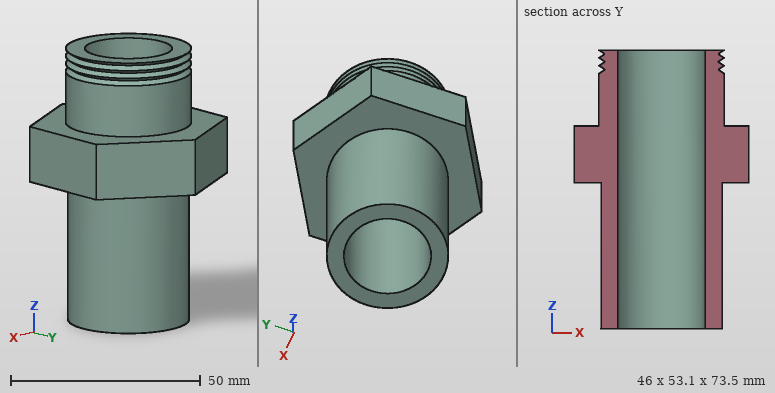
import cadquery as cq
import math

total_length = 73.5
collar_length = 20.0
hex_height = 15.0
hex_top = total_length - collar_length
hex_bottom = hex_top - hex_height

hex_across_flats = 46.0
hex_across_corners = hex_across_flats / math.cos(math.pi / 6)
collar_radius = 33.15 / 2
pipe_radius = 32.05 / 2
bore_radius = 23.0 / 2

groove_count = 3
groove_pitch = 2.05
groove_depth = 1.55


def make_pipe():
    """Plain cylindrical tail below the hexagon."""
    return cq.Workplane("XY").circle(pipe_radius).extrude(hex_bottom)


def make_hexagon():
    """Wrench hexagon with its corners on the Y axis."""
    return (
        cq.Workplane("XY", origin=(0, 0, hex_bottom))
        .transformed(rotate=(0, 0, 90))
        .polygon(6, hex_across_corners)
        .extrude(hex_height)
    )


def make_collar():
    """Collar revolved from a half profile, with sharp V grooves at its top."""
    profile = cq.Workplane("XZ").moveTo(0, hex_top).lineTo(0, total_length).lineTo(collar_radius, total_length)
    for groove in range(groove_count):
        groove_top = total_length - groove * groove_pitch
        profile = profile.lineTo(collar_radius - groove_depth, groove_top - groove_pitch / 2)
        profile = profile.lineTo(collar_radius, groove_top - groove_pitch)
    profile = profile.lineTo(collar_radius, hex_top).close()
    return profile.revolve(360, (0, 0, 0), (0, 1, 0))


bore = cq.Workplane("XY").circle(bore_radius).extrude(total_length)

result = make_pipe().union(make_hexagon()).union(make_collar()).cut(bore)